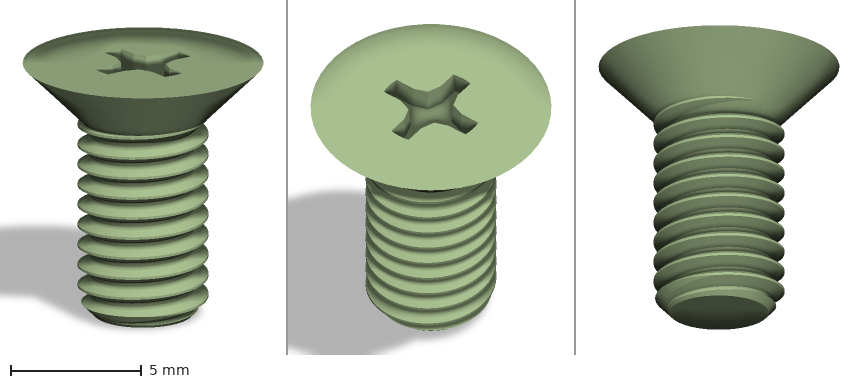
import cadquery as cq
import math

total_length = 10.0
head_radius = 4.6

pitch = 0.8
major_radius = 2.5
root_radius = 2.01
crest_flat = pitch / 8
groove_center_height = 0.24
flank_slope = math.tan(math.radians(30))
tip_chamfer = 0.61
cut_clearance = 0.05
rod_overrun = 2.0
groove_turns = 11.7

head_height = head_radius - root_radius
head_base = total_length - head_height

recess_depth = 0.84
recess_radius = 2.0
arm_half_width = 0.41
arm_root = 1.15
inner_corner = 0.61
wall_draft = 5.0
arm_overrun = 0.4


def make_shank_envelope():
    """Plain rod with a chamfered tip, ending where the head cone reaches its diameter."""
    shank_length = total_length - (head_radius - major_radius)
    rod = cq.Workplane("XY").circle(major_radius).extrude(shank_length)
    return rod.faces("<Z").chamfer(tip_chamfer)


def make_thread_groove():
    """Helical trapezoid starting below the tip and running out inside the head."""
    start_height = groove_center_height - pitch
    helix_height = groove_turns * pitch
    outer_radius = major_radius + cut_clearance
    outer_half = (pitch - crest_flat) / 2 + cut_clearance * flank_slope
    root_half = outer_half - (outer_radius - root_radius) * flank_slope
    path = cq.Wire.makeHelix(pitch, helix_height, root_radius).translate(cq.Vector(0, 0, start_height))
    profile = (
        cq.Workplane("XZ")
        .moveTo(root_radius, start_height - root_half)
        .lineTo(outer_radius, start_height - outer_half)
        .lineTo(outer_radius, start_height + outer_half)
        .lineTo(root_radius, start_height + root_half)
        .close()
    )
    return profile.sweep(cq.Workplane(path), isFrenet=True)


def make_threaded_rod():
    """Rod extending past both ends of the groove, so that the cut stays within its length."""
    base = cq.Workplane("XY").workplane(offset=-rod_overrun)
    rod = base.circle(major_radius).extrude(total_length + rod_overrun)
    return rod.cut(make_thread_groove())


def make_head():
    """Cone with a flat top and a sharp rim."""
    return (
        cq.Workplane("XZ")
        .moveTo(0, head_base)
        .lineTo(root_radius, head_base)
        .lineTo(head_radius, total_length)
        .lineTo(0, total_length)
        .close()
        .revolve(360, (0, 0, 0), (0, 1, 0))
    )


def make_recess():
    """Flared cross with drafted sides and upright, rounded arm ends."""
    arm_end = recess_radius + arm_overrun
    arm_points = [
        (arm_root, -arm_half_width),
        (arm_end, -arm_half_width),
        (arm_end, arm_half_width),
        (arm_root, arm_half_width),
        (inner_corner, inner_corner),
    ]
    outline = []
    for quarter in range(4):
        for x, y in arm_points:
            outline.append((x, y))
        arm_points = [(-y, x) for x, y in arm_points]
    top = cq.Workplane("XY").workplane(offset=total_length)
    cross = top.polyline(outline).close().extrude(-recess_depth, taper=wall_draft)
    envelope = top.circle(recess_radius).extrude(-recess_depth)
    return cross.intersect(envelope)


threaded_shank = make_threaded_rod().intersect(make_shank_envelope())
result = threaded_shank.union(make_head()).cut(make_recess())